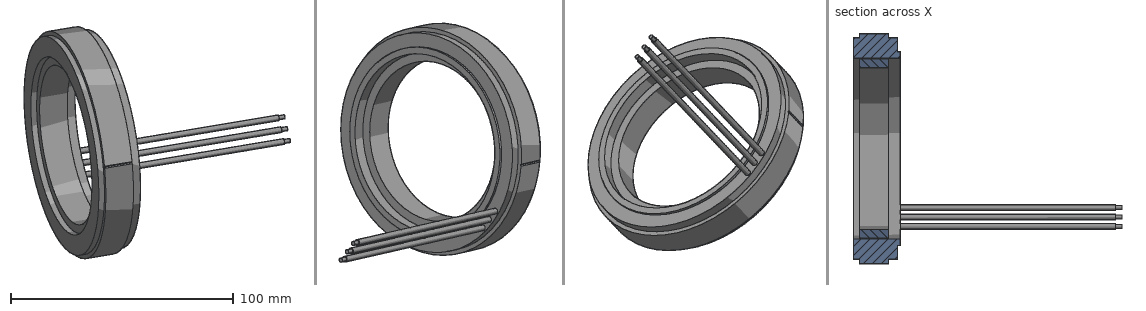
import cadquery as cq
import math

BAND_FRONT = 2.7
BAND_REAR = 15.9
HOUSING_REAR = 20.0
LIP_REAR = 21.2
SLEEVE_END = 118.1
WIRE_END = 121.0

BAND_RADIUS = 51.9
HOUSING_RADIUS = 50.0
LIP_RADIUS = 43.7
RING_RADIUS = 40.4
RING_GAP = 0.2
RING_BORE_RADIUS = 36.4

WIRE_COUNT = 3
WIRE_PITCH = 5.6
WIRE_ROW_RADIUS = 47.7
WIRE_ROW_ANGLE = 220.2
SLEEVE_RADIUS = 1.3
CONDUCTOR_RADIUS = 1.0

NOTCH_WIDTH = 1.0
NOTCH_DEPTH = 0.5
NOTCH_ANGLES = (15.1, 185.2)


def cylinder(radius, start, end, x=0, z=0):
    """Solid cylinder along +Y between two axial positions."""
    return cq.Workplane("XZ", origin=(x, start, z)).circle(radius).extrude(start - end)


def make_wire(offset):
    """Insulated wire with a bare end, at a sideways offset along the row."""
    angle = math.radians(WIRE_ROW_ANGLE)
    x = WIRE_ROW_RADIUS * math.cos(angle) - offset * math.sin(angle)
    z = WIRE_ROW_RADIUS * math.sin(angle) + offset * math.cos(angle)
    sleeve = cylinder(SLEEVE_RADIUS, HOUSING_REAR, SLEEVE_END, x, z)
    return sleeve.union(cylinder(CONDUCTOR_RADIUS, SLEEVE_END, WIRE_END, x, z))


def make_notch(angle):
    """Cutter for a V-shaped notch along the full width of the band."""
    half_width = NOTCH_WIDTH / 2
    profile = [
        (BAND_RADIUS - NOTCH_DEPTH, 0),
        (BAND_RADIUS, -half_width),
        (BAND_RADIUS + NOTCH_DEPTH, 0),
        (BAND_RADIUS, half_width),
    ]
    notch = cq.Workplane("XZ", origin=(0, BAND_FRONT, 0)).polyline(profile).close()
    notch = notch.extrude(BAND_FRONT - BAND_REAR)
    return notch.rotate((0, 0, 0), (0, 1, 0), -angle)


def make_housing():
    """Outer ring with a raised band, a rear lip, index notches and three lead wires."""
    housing = cylinder(HOUSING_RADIUS, 0, HOUSING_REAR)
    housing = housing.union(cylinder(BAND_RADIUS, BAND_FRONT, BAND_REAR))
    housing = housing.union(cylinder(LIP_RADIUS, HOUSING_REAR, LIP_REAR))
    for angle in NOTCH_ANGLES:
        housing = housing.cut(make_notch(angle))
    housing = housing.cut(cylinder(RING_RADIUS + RING_GAP, 0, LIP_REAR))
    for index in range(WIRE_COUNT):
        offset = (index - (WIRE_COUNT - 1) / 2) * WIRE_PITCH
        housing = housing.union(make_wire(offset))
    return housing


def make_ring():
    """Plain inner ring, as wide as the band and clear of the housing bore."""
    ring = cylinder(RING_RADIUS, BAND_FRONT, BAND_REAR)
    return ring.cut(cylinder(RING_BORE_RADIUS, BAND_FRONT, BAND_REAR))


housing = make_housing()
inner_ring = make_ring()

result = cq.Compound.makeCompound([housing.val(), inner_ring.val()])